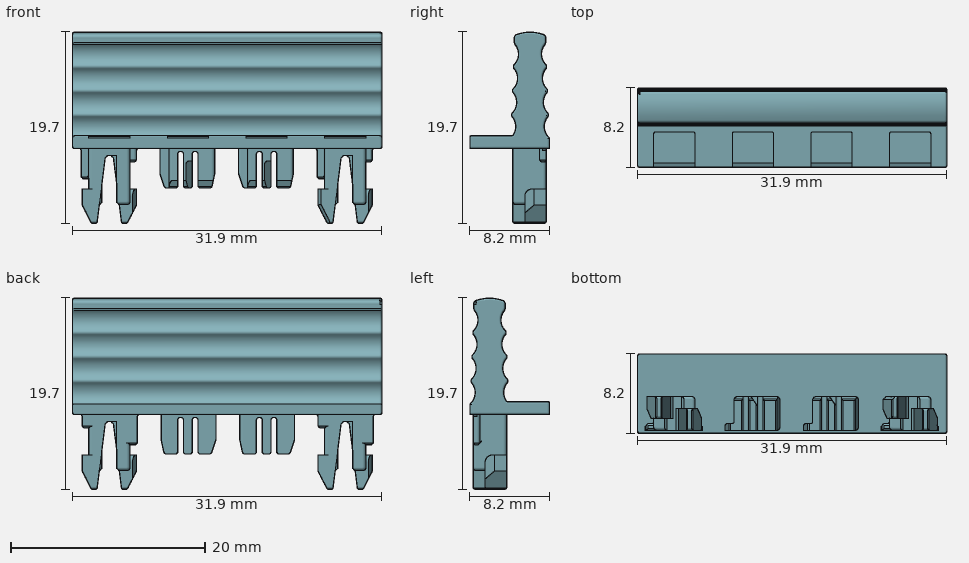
import cadquery as cq
LENGTH = 31.9
TOP_Z = 12.03
END_ROUND = 0.22

PICK_MARGIN = 0.03

PLATE_REAR_Y = 2.0
PLATE_FRONT_Y = -6.2
PLATE_TOP_Z = 1.35
PLATE_REAR_TOP_Z = 1.12
ROOT_ROUND = 0.25
PLATE_EDGE_ROUND = 0.112

GROOVE_COUNT = 4
RIDGE_PITCH = 2.5
FIRST_RIDGE_Z = 1.0
RIDGE_HALF_HEIGHT = 0.2
RIDGE_BULGE = 0.05
RIDGE_STEP = 0.1
GROOVE_DEPTH = 0.48
CAP_SHOULDER_Z = 11.35
CROWN_HALF_WIDTH = 1.3
CROWN_EDGE_Z = 11.8
CAP_CORNER_BULGE = 0.08

PITCH = 8.1
STATION_COUNT = 4
STATIONS = [PITCH * (i - (STATION_COUNT - 1) / 2) for i in range(STATION_COUNT)]

POCKET_WIDTH = 4.25
POCKET_LENGTH = 3.67
POCKET_DEPTH = 0.1
POCKET_CORNER = 0.2
RAMP_LENGTH = 0.48
RAMP_DROP = 0.25

FOOT_FRONT_Y = -1.8
FOOT_REAR_Y = 1.7
FOOT_MID_Y = (FOOT_FRONT_Y + FOOT_REAR_Y) / 2
FOOT_CORNER = 0.35

CLIP_HALF_WIDTH = 2.15
BLOCK_BOTTOM_Z = -5.75
BLOCK_ROUND = 0.3
HOOK_HALF_WIDTH = 2.8
HOOK_TOP_Z = -4.15
HOOK_TAPER_Z = -5.8
HOOK_FLAT_LENGTH = 1.28
HOOK_SLANT_LENGTH = 0.95
HOOK_SLANT_DEPTH = 0.4
HOOK_TOP_ROUND = 0.75
HOOK_EDGE_CHAMFER = 0.32
LEG_TIP_Z = -7.7
LEG_TIP_OUTER_X = 1.9
LEG_TIP_CHAMFER = 0.13
LEG_TIP_ROUND = 0.25
SLOT_TOP_Z = -0.7
SLOT_TOP_HALF_WIDTH = 0.4
SLOT_BOTTOM_HALF_WIDTH = 1.25
SLOT_ROUND = 0.25
SHORT_LEG_INNER_X = 0.75
SHORT_LEG_CHAMFER = 0.22
HOOK_DEPTH = HOOK_FLAT_LENGTH + HOOK_SLANT_LENGTH

RIB_FRONT_Y = 1.0
RIB_ROUND = 0.3
RIB_JOINT_ROUND = 0.2
RIB_BOTTOM_CHAMFER = 0.2
RIB_FLARE = 0.112
RIB_FLARE_HEIGHT = 0.15
LONG_RIB_WIDTH = 0.75
LONG_RIB_HEIGHT = 3.1
SHORT_RIB_WIDTH = 0.67
SHORT_RIB_HEIGHT = 1.37

PIN_LEFT_X = -1.95
PIN_RIGHT_X = 2.78
PIN_RIB_LEFT_X = -2.9
PIN_BOTTOM_Z = -4.05
PIN_TAPER_Z = -2.55
PIN_RIB_TAPER = 0.45
PIN_SIDE_TAPER = 0.3
PIN_FRONT_TAPER_Z = -3.25
PIN_FRONT_TAPER = 0.25
PIN_TIP_CHAMFER = 0.15
PIN_SLOT_WIDTH = 0.57
PIN_SLOT_TOP_Z = -0.3
PIN_SLOT_SPACING = 1.5
PIN_SLOT_ROUND = 0.25
RELIEF_TOP_Z = -1.25
RELIEF_WIDTH = 0.67
RELIEF_DEPTH = 0.95
RELIEF_ROUND = 0.38


def prism_xz(points, y_start, y_end):
    """Extrude an XZ outline from y_start to y_end."""
    plane = cq.Workplane("XZ", origin=(0, y_start, 0))
    return plane.polyline(points).close().extrude(y_start - y_end)


def block(x_range, y_range, z_range):
    """Box between two limits along each axis."""
    sizes = [end - start for start, end in (x_range, y_range, z_range)]
    corner = (x_range[0], y_range[0], z_range[0])
    return cq.Workplane("XY", origin=corner).box(*sizes, centered=False)


def half_turn(shape):
    """Turn a shape half a turn about the vertical axis of its foot."""
    return shape.rotate((0, FOOT_MID_Y, 0), (0, FOOT_MID_Y, 1), 180)


def make_grip_and_plate():
    """Scalloped grip and flat plate as one extrusion with rounded ends."""
    ridge_z = [FIRST_RIDGE_Z + RIDGE_PITCH * i for i in range(GROOVE_COUNT + 1)]
    ridge_y = [PLATE_REAR_Y - RIDGE_STEP * i for i in range(GROOVE_COUNT + 1)]
    cap_y = ridge_y[-1]
    corner_mid_y = (cap_y + CROWN_HALF_WIDTH) / 2 + CAP_CORNER_BULGE
    corner_mid_z = (CAP_SHOULDER_Z + CROWN_EDGE_Z) / 2 + CAP_CORNER_BULGE

    crown_rise = TOP_Z - CROWN_EDGE_Z
    crown_radius = (CROWN_HALF_WIDTH**2 + crown_rise**2) / (2 * crown_rise)

    half = cq.Workplane("YZ").lineTo(PLATE_REAR_Y, 0)
    half = half.lineTo(PLATE_REAR_Y, PLATE_REAR_TOP_Z)
    for i in range(GROOVE_COUNT):
        middle_y = (ridge_y[i] + ridge_y[i + 1]) / 2 - GROOVE_DEPTH
        middle_z = (ridge_z[i] + ridge_z[i + 1]) / 2
        flank_y = ridge_y[i + 1] - RIDGE_BULGE
        half = half.threePointArc((middle_y, middle_z), (flank_y, ridge_z[i + 1] - RIDGE_HALF_HEIGHT))
        if i < GROOVE_COUNT - 1:
            ridge_end = (flank_y, ridge_z[i + 1] + RIDGE_HALF_HEIGHT)
            half = half.threePointArc((ridge_y[i + 1], ridge_z[i + 1]), ridge_end)
    half = half.lineTo(cap_y, ridge_z[-1])
    half = half.lineTo(cap_y, CAP_SHOULDER_Z)
    half = half.threePointArc((corner_mid_y, corner_mid_z), (CROWN_HALF_WIDTH, CROWN_EDGE_Z))
    half = half.radiusArc((0, TOP_Z), -crown_radius)
    half = half.close().extrude(LENGTH / 2, both=True)
    grip = half.union(half.mirror("XZ")).clean()

    plate = block((-LENGTH / 2, LENGTH / 2), (PLATE_FRONT_Y, 0), (0, PLATE_TOP_Z))
    body = grip.union(plate)
    root = cq.selectors.BoxSelector(
        (-LENGTH, -PLATE_REAR_Y, PLATE_TOP_Z - PICK_MARGIN), (LENGTH, 0, PLATE_TOP_Z + PICK_MARGIN)
    )
    body = body.edges(root).edges("|X").fillet(ROOT_ROUND)
    body = body.faces("<Z or <Y").edges("|X").fillet(PLATE_EDGE_ROUND)
    return body.faces("<X or >X").edges().fillet(END_ROUND)


def make_pocket():
    """Shallow label recess whose floor ramps down to the front of the plate."""
    floor_z = PLATE_TOP_Z - POCKET_DEPTH
    open_z = PLATE_TOP_Z + POCKET_DEPTH
    rear_y = PLATE_FRONT_Y + POCKET_LENGTH
    ramp_y = PLATE_FRONT_Y + RAMP_LENGTH
    side = cq.Workplane("YZ").polyline([
        (rear_y, open_z),
        (rear_y, floor_z),
        (ramp_y, floor_z),
        (PLATE_FRONT_Y, PLATE_TOP_Z - RAMP_DROP),
        (PLATE_FRONT_Y, open_z),
    ])
    pocket = side.close().extrude(POCKET_WIDTH / 2, both=True)
    return pocket.edges("|Z and >Y").fillet(POCKET_CORNER)


def make_rib(width, height):
    """Rib projecting toward -X, rooted behind x = 0 and flared where it meets the plate."""
    rib = prism_xz([
        (width, 0),
        (-width, 0),
        (-width, -height),
        (width, -height),
    ], RIB_FRONT_Y, FOOT_REAR_Y)
    rib = rib.edges("|Z").edges("<Y").edges("<X").fillet(RIB_ROUND)
    rib = rib.faces("<Z").edges().chamfer(RIB_BOTTOM_CHAMFER)
    flare = prism_xz([
        (0, 0),
        (-width - RIB_FLARE, 0),
        (-width, -RIB_FLARE_HEIGHT),
        (0, -RIB_FLARE_HEIGHT),
    ], RIB_FRONT_Y + RIB_ROUND, FOOT_REAR_Y)
    return rib.union(flare)


def round_rib_joint(foot, joint_x):
    """Round the inner corner between a foot and the front face of its rib."""
    joint = cq.selectors.BoxSelector(
        (joint_x - PICK_MARGIN, RIB_FRONT_Y - PICK_MARGIN, PIN_BOTTOM_Z),
        (joint_x + PICK_MARGIN, RIB_FRONT_Y + PICK_MARGIN, 0),
    )
    return foot.edges(joint).edges("|Z").fillet(RIB_JOINT_ROUND)


def make_hook(front_chamfer):
    """Hooked leg end on the -X side, with its outer face fading toward the rear."""
    rear_y = FOOT_FRONT_Y + HOOK_DEPTH
    slant_y = FOOT_FRONT_Y + HOOK_FLAT_LENGTH
    hook = prism_xz([
        (-CLIP_HALF_WIDTH + FOOT_CORNER, HOOK_TOP_Z),
        (-HOOK_HALF_WIDTH, HOOK_TOP_Z),
        (-HOOK_HALF_WIDTH, HOOK_TAPER_Z),
        (-LEG_TIP_OUTER_X, LEG_TIP_Z + LEG_TIP_CHAMFER),
        (-LEG_TIP_OUTER_X + LEG_TIP_CHAMFER, LEG_TIP_Z),
        (-SLOT_BOTTOM_HALF_WIDTH - LEG_TIP_CHAMFER, LEG_TIP_Z),
        (-SLOT_BOTTOM_HALF_WIDTH, LEG_TIP_Z + LEG_TIP_CHAMFER),
        (-SHORT_LEG_INNER_X, HOOK_TOP_Z),
    ], FOOT_FRONT_Y, rear_y)
    hook = hook.edges("|X and >Z and >Y").fillet(HOOK_TOP_ROUND)
    if front_chamfer:
        outer_front_edges = cq.selectors.BoxSelector(
            (-HOOK_HALF_WIDTH - PICK_MARGIN, FOOT_FRONT_Y - PICK_MARGIN, LEG_TIP_Z),
            (-CLIP_HALF_WIDTH, FOOT_FRONT_Y + PICK_MARGIN, HOOK_TOP_Z - PICK_MARGIN),
        )
        hook = hook.edges(outer_front_edges).chamfer(HOOK_EDGE_CHAMFER)
    hook = hook.faces("<Z").edges("|X").fillet(LEG_TIP_ROUND)
    slant = cq.Workplane("XY", origin=(0, 0, LEG_TIP_Z)).polyline([
        (-HOOK_HALF_WIDTH, slant_y),
        (-HOOK_HALF_WIDTH + HOOK_SLANT_DEPTH, rear_y),
        (-HOOK_HALF_WIDTH, rear_y),
    ]).close().extrude(HOOK_TOP_Z - LEG_TIP_Z)
    return hook.cut(slant)


def make_clip(front_chamfer):
    """Snap clip with two hooked legs and a rib on each side."""
    rear_y = FOOT_FRONT_Y + HOOK_DEPTH
    body = block(
        (-CLIP_HALF_WIDTH, CLIP_HALF_WIDTH), (FOOT_FRONT_Y, FOOT_REAR_Y), (BLOCK_BOTTOM_Z, 0)
    )
    body = body.edges("|Z").fillet(FOOT_CORNER)
    body = body.faces("<Z").edges().fillet(BLOCK_ROUND)
    rear_hook = half_turn(make_hook(front_chamfer=False))
    clip = body.union(make_hook(front_chamfer)).union(rear_hook)

    sloped_slot = prism_xz([
        (0, SLOT_TOP_Z),
        (-SLOT_TOP_HALF_WIDTH + SLOT_ROUND, SLOT_TOP_Z),
        (-SLOT_TOP_HALF_WIDTH, SLOT_TOP_Z - SLOT_ROUND),
        (-SLOT_BOTTOM_HALF_WIDTH, LEG_TIP_Z + LEG_TIP_CHAMFER),
        (-SLOT_BOTTOM_HALF_WIDTH, LEG_TIP_Z),
        (0, LEG_TIP_Z),
    ], FOOT_FRONT_Y, rear_y)
    straight_slot = prism_xz([
        (0, SLOT_TOP_Z),
        (-SHORT_LEG_INNER_X, SLOT_TOP_Z),
        (-SHORT_LEG_INNER_X, BLOCK_BOTTOM_Z + SHORT_LEG_CHAMFER),
        (-SHORT_LEG_INNER_X - SHORT_LEG_CHAMFER, BLOCK_BOTTOM_Z),
        (0, BLOCK_BOTTOM_Z),
    ], rear_y, FOOT_REAR_Y)
    half_slot = sloped_slot.union(straight_slot)
    clip = clip.cut(half_slot).cut(half_turn(half_slot))

    long_rib = make_rib(LONG_RIB_WIDTH, LONG_RIB_HEIGHT)
    short_rib = make_rib(SHORT_RIB_WIDTH, SHORT_RIB_HEIGHT).mirror("YZ")
    clip = clip.union(long_rib.translate((-CLIP_HALF_WIDTH, 0, 0)))
    clip = round_rib_joint(clip, -CLIP_HALF_WIDTH)
    return clip.union(short_rib.translate((CLIP_HALF_WIDTH, 0, 0)))


def make_pin():
    """Slotted pin with a rear rib on its -X side and tapered lower ends."""
    bottom = PIN_BOTTOM_Z
    tip_z = bottom + PIN_TIP_CHAMFER
    body = prism_xz([
        (PIN_LEFT_X, 0),
        (PIN_RIGHT_X, 0),
        (PIN_RIGHT_X, PIN_TAPER_Z),
        (PIN_RIGHT_X - PIN_SIDE_TAPER, tip_z),
        (PIN_RIGHT_X - PIN_SIDE_TAPER - PIN_TIP_CHAMFER, bottom),
        (PIN_LEFT_X, bottom),
    ], FOOT_FRONT_Y, FOOT_REAR_Y)
    body = body.edges("|Z").fillet(FOOT_CORNER)
    rib = prism_xz([
        (0, 0),
        (PIN_RIB_LEFT_X, 0),
        (PIN_RIB_LEFT_X, PIN_TAPER_Z),
        (PIN_RIB_LEFT_X + PIN_RIB_TAPER, tip_z),
        (PIN_RIB_LEFT_X + PIN_RIB_TAPER + PIN_TIP_CHAMFER, bottom),
        (0, bottom),
    ], RIB_FRONT_Y, FOOT_REAR_Y)
    rib = rib.edges("|Z").edges("<Y").edges("<X").fillet(RIB_ROUND)
    pin = round_rib_joint(body.union(rib), PIN_LEFT_X)
    width = PIN_RIGHT_X - PIN_RIB_LEFT_X
    front_taper = cq.Workplane("YZ").polyline([
        (FOOT_FRONT_Y, PIN_FRONT_TAPER_Z),
        (FOOT_FRONT_Y + PIN_FRONT_TAPER, tip_z),
        (FOOT_FRONT_Y + PIN_FRONT_TAPER + PIN_TIP_CHAMFER, bottom),
        (FOOT_FRONT_Y, bottom),
    ]).close().extrude(width, both=True)
    pin = pin.cut(front_taper)

    half_slot = PIN_SLOT_WIDTH / 2
    slot = prism_xz([
        (-half_slot, PIN_SLOT_TOP_Z),
        (half_slot, PIN_SLOT_TOP_Z),
        (half_slot, tip_z),
        (half_slot + PIN_TIP_CHAMFER, bottom),
        (-half_slot - PIN_TIP_CHAMFER, bottom),
        (-half_slot, tip_z),
    ], FOOT_FRONT_Y, FOOT_REAR_Y)
    slot = slot.edges("|Y and >Z").fillet(PIN_SLOT_ROUND)
    for side in (-1, 1):
        pin = pin.cut(slot.translate((side * PIN_SLOT_SPACING / 2, 0, 0)))

    relief_right_x = (PIN_SLOT_SPACING - PIN_SLOT_WIDTH) / 2
    relief_left_x = relief_right_x - RELIEF_WIDTH
    relief = cq.Workplane("XY", origin=(0, 0, bottom)).polyline([
        (relief_left_x, FOOT_FRONT_Y),
        (relief_right_x, FOOT_FRONT_Y),
        (relief_right_x, FOOT_FRONT_Y + RELIEF_DEPTH),
    ]).close().extrude(RELIEF_TOP_Z - bottom)
    runout = block(
        (relief_left_x, relief_right_x),
        (FOOT_FRONT_Y, FOOT_REAR_Y),
        (bottom, RELIEF_TOP_Z),
    ).edges("|Y and >Z and <X").fillet(RELIEF_ROUND)
    return pin.cut(relief.intersect(runout))


result = make_grip_and_plate()
for station in STATIONS:
    result = result.cut(make_pocket().translate((station, 0, 0)))
result = result.union(make_clip(front_chamfer=False).translate((STATIONS[0], 0, 0)))
for station in STATIONS[1:-1]:
    result = result.union(make_pin().translate((station, 0, 0)))
result = result.union(make_clip(front_chamfer=True).translate((STATIONS[-1], 0, 0)))